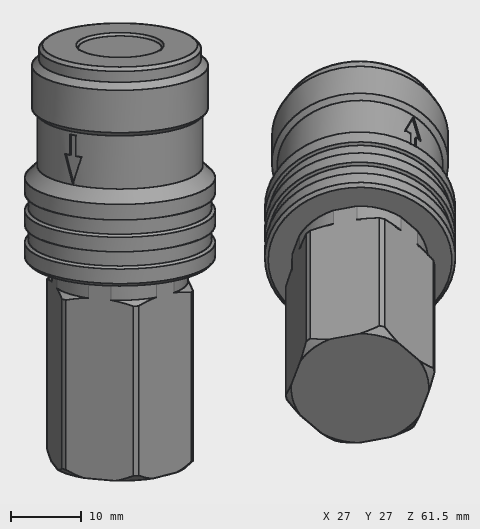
import cadquery as cq
import math

total_length = 61.5
hex_length = 29.75

hex_sides = 6
across_flats = 19.0
hex_corner_diameter = 21.5
neck_diameter = 19.3
neck_shoulder_z = 26.65
shoulder_drop = 0.6
bottom_chamfer = 1.0

lip_diameter = 23.0
collar_diameter = 25.0
barrel_diameter = 23.5
flange_diameter = 27.0
groove_diameter = 26.0
lip_chamfer = 0.5
flange_chamfer = 0.5
lip_bottom_z = 59.4
collar_top_z = 58.5
collar_bottom_z = 52.25
barrel_top_z = 51.55
barrel_bottom_z = 43.7
flange_top_z = 41.95
groove_top_z = 39.65
groove_width = 2.55
groove_pitch = 4.7
groove_count = 2
groove_upper_flank = 0.15
groove_lower_flank = 0.3

arrow_depth = 0.3
arrow_head_length = 4.2
arrow_head_width = 2.85
arrow_stem_length = 3.05
arrow_stem_width = 1.05
down_arrow_angle = 283.2
down_arrow_tip_z = 43.8
up_arrow_angle = 173.2
up_arrow_tip_z = 51.25

socket_diameter = 11.8
socket_wall_run = 0.3
socket_depth = 0.4


def revolve_profile(points):
    """Revolve (radius, z) points about the Z axis."""
    return cq.Workplane("XZ").polyline(points).close().revolve(360, (0, 0, 0), (0, 1, 0))


def make_hex_body():
    """Hexagonal prism with two flats facing +X and -X, turned at both ends."""
    corner_radius = hex_corner_diameter / 2
    neck_radius = neck_diameter / 2
    half_side_angle = 180 / hex_sides
    across_corners = across_flats / math.cos(math.radians(half_side_angle))
    prism = (
        cq.Workplane("XY")
        .polygon(hex_sides, across_corners)
        .extrude(hex_length)
        .rotate((0, 0, 0), (0, 0, 1), half_side_angle)
    )
    turned = revolve_profile([
        (0, 0),
        (corner_radius - bottom_chamfer, 0),
        (corner_radius, bottom_chamfer),
        (corner_radius, neck_shoulder_z - shoulder_drop),
        (neck_radius, neck_shoulder_z),
        (neck_radius, hex_length),
        (0, hex_length),
    ])
    return prism.intersect(turned)


def make_sleeve():
    """Turned sleeve with lip, collar, barrel and grooved flange."""
    lip_radius = lip_diameter / 2
    collar_radius = collar_diameter / 2
    barrel_radius = barrel_diameter / 2
    flange_radius = flange_diameter / 2
    groove_radius = groove_diameter / 2
    points = [
        (0, total_length),
        (lip_radius - lip_chamfer, total_length),
        (lip_radius, total_length - lip_chamfer),
        (lip_radius, lip_bottom_z),
        (collar_radius, collar_top_z),
        (collar_radius, collar_bottom_z),
        (barrel_radius, barrel_top_z),
        (barrel_radius, barrel_bottom_z),
        (flange_radius, flange_top_z),
    ]
    for i in range(groove_count):
        upper_z = groove_top_z - i * groove_pitch
        lower_z = upper_z - groove_width
        points += [
            (flange_radius, upper_z),
            (groove_radius, upper_z - groove_upper_flank),
            (groove_radius, lower_z + groove_lower_flank),
            (flange_radius, lower_z),
        ]
    points += [
        (flange_radius, hex_length + flange_chamfer),
        (flange_radius - flange_chamfer, hex_length),
        (0, hex_length),
    ]
    return revolve_profile(points)


def make_socket():
    """Shallow round recess with a sloped wall."""
    radius = socket_diameter / 2
    return revolve_profile([
        (0, total_length),
        (radius + socket_wall_run, total_length),
        (radius, total_length - socket_depth),
        (0, total_length - socket_depth),
    ])


def make_arrow(angle, tip_z, pointing):
    """Cutter for one engraved arrow; pointing is 1 for up and -1 for down."""
    barrel_radius = barrel_diameter / 2
    head_z = tip_z - pointing * arrow_head_length
    tail_z = head_z - pointing * arrow_stem_length
    head_half = arrow_head_width / 2
    stem_half = arrow_stem_width / 2
    prism = (
        cq.Workplane("YZ")
        .polyline([
            (0, tip_z),
            (head_half, head_z),
            (stem_half, head_z),
            (stem_half, tail_z),
            (-stem_half, tail_z),
            (-stem_half, head_z),
            (-head_half, head_z),
        ])
        .close()
        .extrude(flange_diameter / 2)
        .rotate((0, 0, 0), (0, 0, 1), angle)
    )
    core = cq.Workplane("XY").circle(barrel_radius - arrow_depth).extrude(total_length)
    return prism.cut(core)


result = (
    make_hex_body()
    .union(make_sleeve())
    .cut(make_socket())
    .cut(make_arrow(down_arrow_angle, down_arrow_tip_z, -1))
    .cut(make_arrow(up_arrow_angle, up_arrow_tip_z, 1))
)